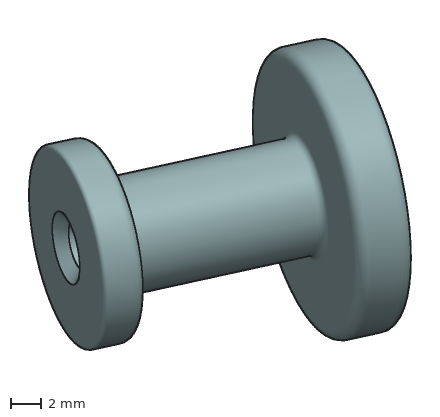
import cadquery as cq
import math

total_length = 21.0
base_diameter = 20.0
base_thickness = 4.0
stem_diameter = 8.0
head_diameter = 14.0
head_thickness = 3.0

rim_fillet = 0.8
head_face_fillet = 0.3
stem_head_fillet = 0.8
stem_base_fillet = 0.5

hole_diameter = 3.32
countersink_diameter = 5.0
countersink_angle = 90.0
hole_depth = 10.08
drill_tip_angle = 118.0


def disc(diameter, start, length):
    """Solid cylinder along +Y, beginning at Y = start."""
    plane = cq.Plane(origin=(0, start, 0), xDir=(1, 0, 0), normal=(0, 1, 0))
    return cq.Workplane(plane).circle(diameter / 2).extrude(length)


def rounded_base():
    base = disc(base_diameter, total_length - base_thickness, base_thickness)
    return base.faces("<Y or >Y").edges().fillet(rim_fillet)


def rounded_head():
    head = disc(head_diameter, 0, head_thickness)
    head = head.faces(">Y").edges().fillet(rim_fillet)
    return head.faces("<Y").edges().fillet(head_face_fillet)


def stem():
    """Stem with a concave fillet flaring out at each end."""
    radius = stem_diameter / 2
    head_end = head_thickness
    base_end = total_length - base_thickness
    diagonal = 1 - math.sqrt(0.5)
    return (
        cq.Workplane("XY")
        .moveTo(0, head_end)
        .lineTo(radius + stem_head_fillet, head_end)
        .threePointArc(
            (radius + stem_head_fillet * diagonal, head_end + stem_head_fillet * diagonal),
            (radius, head_end + stem_head_fillet),
        )
        .lineTo(radius, base_end - stem_base_fillet)
        .threePointArc(
            (radius + stem_base_fillet * diagonal, base_end - stem_base_fillet * diagonal),
            (radius + stem_base_fillet, base_end),
        )
        .lineTo(0, base_end)
        .close()
        .revolve(360, (0, 0, 0), (0, 1, 0))
    )


def countersunk_hole():
    """Cutter for the hole: countersink, straight bore and conical drill tip."""
    hole_radius = hole_diameter / 2
    countersink_radius = countersink_diameter / 2
    countersink_depth = (countersink_radius - hole_radius) / math.tan(math.radians(countersink_angle / 2))
    tip_length = hole_radius / math.tan(math.radians(drill_tip_angle / 2))
    return (
        cq.Workplane("XY")
        .polyline([
            (0, 0),
            (countersink_radius, 0),
            (hole_radius, countersink_depth),
            (hole_radius, hole_depth),
            (0, hole_depth + tip_length),
        ])
        .close()
        .revolve(360, (0, 0, 0), (0, 1, 0))
    )


result = rounded_base().union(stem()).union(rounded_head()).cut(countersunk_hole())